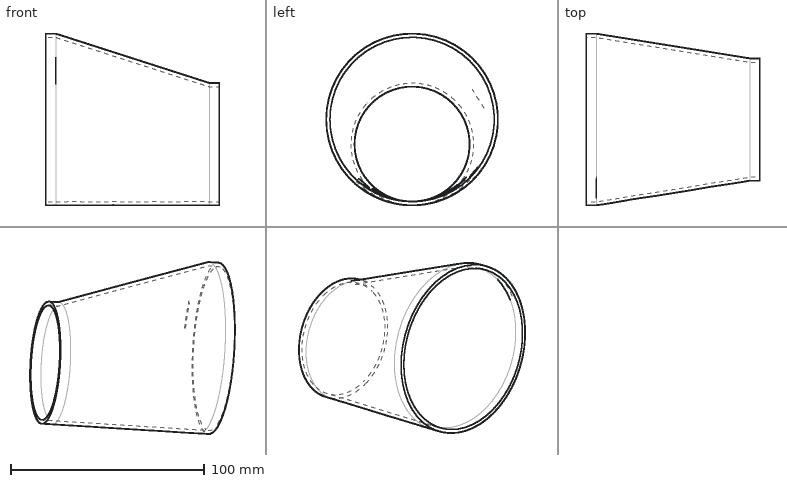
import cadquery as cq

length = 90.0
large_diameter = 89.1
small_diameter = 63.5
large_bore = 85.1
small_bore = 59.5
collar_length = 5.2

small_end_drop = (large_diameter - small_diameter) / 2
cone_length = length - 2 * collar_length


def reducer_body(large_end, small_end):
    """Solid reducer: a straight collar, an eccentric cone and a second collar."""
    large_collar = cq.Workplane("YZ").circle(large_end / 2).extrude(collar_length)
    cone = (
        cq.Workplane("YZ", origin=(collar_length, 0, 0))
        .circle(large_end / 2)
        .workplane(offset=cone_length)
        .center(0, -small_end_drop)
        .circle(small_end / 2)
        .loft(ruled=True)
    )
    small_collar = (
        cq.Workplane("YZ", origin=(length - collar_length, 0, -small_end_drop))
        .circle(small_end / 2)
        .extrude(collar_length)
    )
    return large_collar.union(cone).union(small_collar)


outside = reducer_body(large_diameter, small_diameter)
inside = reducer_body(large_bore, small_bore)
result = outside.cut(inside)